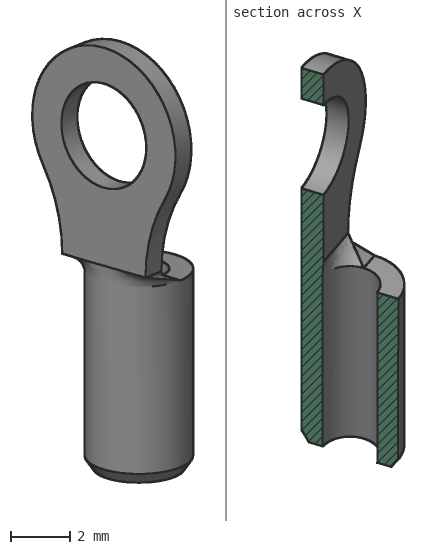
import cadquery as cq
import math

total_height = 15.61
eye_radius = 3.17
eye_hole_radius = 1.87
barrel_radius = 1.84
bore_radius = 1.03
barrel_height = 7.15
neck_height = 7.76
tongue_thickness = 0.85
chamfer_height = 0.42
chamfer_inset = 0.28

eye_height = total_height - eye_radius
tongue_front = -barrel_radius
tongue_back = tongue_front + tongue_thickness


def make_barrel():
    """Hollow crimp barrel with an outer chamfer at the wire end."""
    profile = (
        cq.Workplane("XZ")
        .moveTo(bore_radius, 0)
        .lineTo(barrel_radius - chamfer_inset, 0)
        .lineTo(barrel_radius, chamfer_height)
        .lineTo(barrel_radius, barrel_height)
        .lineTo(bore_radius, barrel_height)
        .close()
    )
    return profile.revolve(360, (0, 0, 0), (0, 1, 0))


def make_transition():
    """Ruled body from the front half of the barrel ring to the flat tongue."""
    ring_x = (-barrel_radius, barrel_radius, bore_radius, -bore_radius)
    ring_corners = [cq.Vector(x, 0, barrel_height) for x in ring_x]
    tongue_corners = [
        cq.Vector(-barrel_radius, tongue_front, neck_height),
        cq.Vector(barrel_radius, tongue_front, neck_height),
        cq.Vector(barrel_radius, tongue_back, neck_height),
        cq.Vector(-barrel_radius, tongue_back, neck_height),
    ]
    outer_middle = cq.Vector(0, -barrel_radius, barrel_height)
    inner_middle = cq.Vector(0, -bore_radius, barrel_height)
    ring_edges = [
        cq.Edge.makeThreePointArc(ring_corners[0], outer_middle, ring_corners[1]),
        cq.Edge.makeLine(ring_corners[1], ring_corners[2]),
        cq.Edge.makeThreePointArc(ring_corners[2], inner_middle, ring_corners[3]),
        cq.Edge.makeLine(ring_corners[3], ring_corners[0]),
    ]
    tongue_edges = [
        cq.Edge.makeLine(tongue_corners[i], tongue_corners[(i + 1) % 4]) for i in range(4)
    ]

    faces = [
        cq.Face.makeRuledSurface(lower, upper)
        for lower, upper in zip(ring_edges, tongue_edges)
    ]
    for edges in (ring_edges, tongue_edges):
        faces.append(cq.Face.makeFromWires(cq.Wire.assembleEdges(edges)))
    return cq.Workplane("XY").add(cq.Solid.makeSolid(cq.Shell.makeShell(faces)).fix())


def make_tongue():
    """Flat ring eye whose neck flares out in arcs tangent to the eye."""
    rise = eye_height - neck_height
    flare_radius = (rise**2 + barrel_radius**2 - eye_radius**2) / (2 * (eye_radius - barrel_radius))
    flare_center_x = barrel_radius + flare_radius
    flare_angle = math.atan2(rise, flare_center_x)

    tangent_x = eye_radius * math.cos(flare_angle)
    tangent_z = eye_height - eye_radius * math.sin(flare_angle)
    middle_x = flare_center_x - flare_radius * math.cos(flare_angle / 2)
    middle_z = neck_height + flare_radius * math.sin(flare_angle / 2)

    outline = (
        cq.Workplane("XZ", origin=(0, tongue_back, 0))
        .moveTo(-barrel_radius, neck_height)
        .lineTo(barrel_radius, neck_height)
        .threePointArc((middle_x, middle_z), (tangent_x, tangent_z))
        .threePointArc((0, total_height), (-tangent_x, tangent_z))
        .threePointArc((-middle_x, middle_z), (-barrel_radius, neck_height))
        .close()
    )
    eye_hole = (
        cq.Workplane("XZ", origin=(0, tongue_back, 0))
        .center(0, eye_height)
        .circle(eye_hole_radius)
        .extrude(tongue_thickness)
    )
    return outline.extrude(tongue_thickness).cut(eye_hole)


result = make_barrel().union(make_transition()).union(make_tongue())